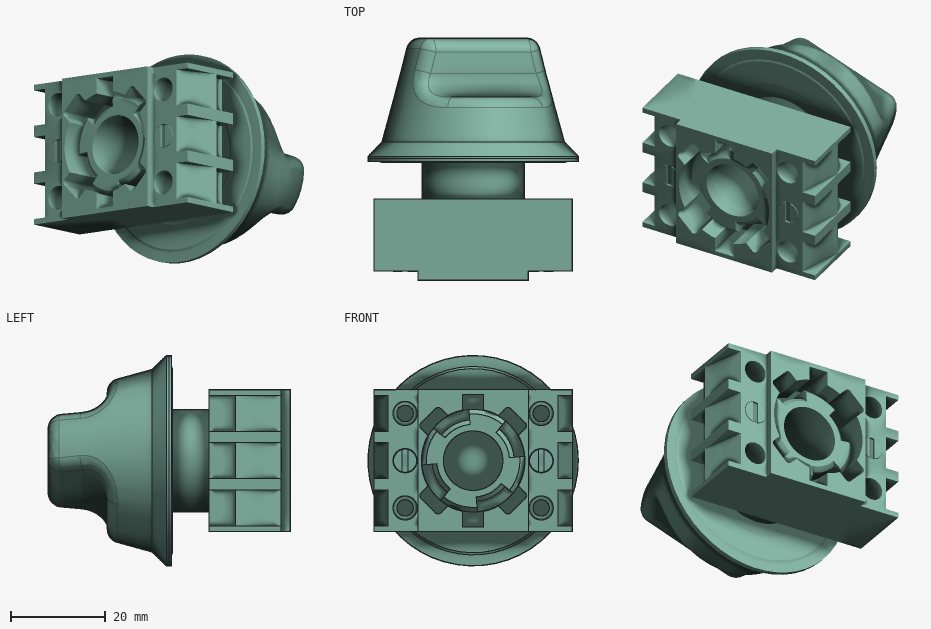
import cadquery as cq
import math


BLOCK_WIDTH = 42.0
BLOCK_HEIGHT = 30.0
BLOCK_BACK = 17.2
WING_FACE = 1.95
CENTRE_WIDTH = 23.35

BAY_ROWS = (-1, 0, 1)
END_WALL = 1.2
RIB = 2.4
BAY_HEIGHT = (BLOCK_HEIGHT - 2 * END_WALL - 2 * RIB) / 3
BAY_PITCH = BAY_HEIGHT + RIB
BAY_DEPTH = 3.0
RAMP_END = 11.55

COLUMN_X = 14.4
COLUMNS = (-COLUMN_X, COLUMN_X)
ROW_PITCH = 10.0
TERMINAL_RADIUS = 2.55
TERMINAL_BORE_RADIUS = 1.75
TERMINAL_STEP_DEPTH = 7.7
SCREW_RADIUS = 2.45
SCREW_RISE = 0.1
SLOT_WIDTH = 1.25
SLOT_DEPTH = 0.5

SOCKET_RADIUS = 10.95
SOCKET_FLOOR = 10.25
KEYWAY_WIDTH = 4.45
KEYWAY_REACH = 14.0
DIAGONAL_WIDTH = 5.95
DIAGONAL_REACH = 13.4
DIAGONAL_CORNER = 0.8

SLEEVE_RADIUS = 10.85
SLEEVE_BORE_RADIUS = 6.3
SLEEVE_FRONT = 3.6
CASTLE_CHAMFER = 0.95
CASTLE_ROOT_RADIUS = 8.65
CASTLE_DEPTH = 5.1
NOTCH_COUNT = 4
NOTCH_START = 4.8
NOTCH_SPAN = 46.0

FLANGE_RADIUS = 44.5 / 2
SEAL_FRONT = 24.95
SEAL_STEP = 0.15
SEAL_BACK = 25.7
PAD_OUTER_RADIUS = 19.45
PAD_INNER_RADIUS = 14.15
PAD_SLOPE = 0.45
BEZEL_RIM_BACK = 26.2
BEZEL_BACK = 29.25

KNOB_BASE_RADIUS = 19.3
KNOB_MID_RADIUS = 17.3
KNOB_MID_Y = 36.5
KNOB_TIP_RADIUS = 13.5
KNOB_TIP = 51.2
GRIP_ANGLE = 20.0
GRIP_HALF_THICKNESS = 6.35
SHOULDER_Y = 38.7
SCOOP_RADIUS = 5.0
KNOB_FILLET = 2.95


def facing_plane(y):
    """Plane across the switch axis: local x is X, local y is Z, and the normal is -Y."""
    return cq.Workplane(cq.Plane(origin=(0, y, 0), xDir=(1, 0, 0), normal=(0, -1, 0)))


def revolved(points):
    """Solid of revolution about Y from (radius, y) points."""
    return cq.Workplane("XY").polyline(points).close().revolve(360, (0, 0, 0), (0, 1, 0))


def disc(radius, y_start, y_end):
    return facing_plane(y_start).circle(radius).extrude(y_start - y_end)


def block_body():
    depth = BLOCK_BACK - WING_FACE
    wings = facing_plane(WING_FACE).rect(BLOCK_WIDTH, BLOCK_HEIGHT).extrude(-depth)
    centre = facing_plane(0).rect(CENTRE_WIDTH, BLOCK_HEIGHT).extrude(-BLOCK_BACK)
    return wings.union(centre)


def terminal_bay(side, z):
    """The two cutters of an open bay: a ramp rising to the end face and a full-depth part behind it."""
    outer = side * BLOCK_WIDTH / 2
    inner = outer - side * BAY_DEPTH
    ramp = [(inner, WING_FACE), (outer, WING_FACE), (outer, RAMP_END)]
    back = [(inner, RAMP_END), (outer, RAMP_END), (outer, BLOCK_BACK), (inner, BLOCK_BACK)]
    base = cq.Workplane("XY").workplane(offset=z - BAY_HEIGHT / 2)
    return [base.polyline(outline).close().extrude(BAY_HEIGHT) for outline in (ramp, back)]


def socket():
    """Round socket with a keyway above and below and four rounded diagonal keyways."""
    depth = SOCKET_FLOOR
    cut = disc(SOCKET_RADIUS, 0, depth)
    cut = cut.union(facing_plane(0).rect(KEYWAY_WIDTH, 2 * KEYWAY_REACH).extrude(-depth))
    for angle in (45, 135):
        diagonal = (
            facing_plane(0)
            .rect(2 * DIAGONAL_REACH, DIAGONAL_WIDTH)
            .extrude(-depth)
            .edges("|Y")
            .fillet(DIAGONAL_CORNER)
            .rotate((0, 0, 0), (0, 1, 0), angle)
        )
        cut = cut.union(diagonal)
    return cut


def make_block():
    block = block_body()
    for side in (-1, 1):
        for row in BAY_ROWS:
            for cutter in terminal_bay(side, row * BAY_PITCH):
                block = block.cut(cutter)
    block = block.cut(socket()).cut(disc(SLEEVE_RADIUS, 0, BLOCK_BACK))

    step_floor = WING_FACE + TERMINAL_STEP_DEPTH
    for x in COLUMNS:
        for z in (-ROW_PITCH, ROW_PITCH):
            block = block.cut(disc(TERMINAL_RADIUS, WING_FACE, step_floor).translate((x, 0, z)))
            block = block.cut(disc(TERMINAL_BORE_RADIUS, step_floor, BLOCK_BACK).translate((x, 0, z)))
        block = block.cut(disc(TERMINAL_RADIUS, WING_FACE, step_floor).translate((x, 0, 0)))
    return block


def make_screw(x):
    """Slotted screw on the floor of its hole, with its head just proud of the wing."""
    head = WING_FACE - SCREW_RISE
    screw = disc(SCREW_RADIUS, head, WING_FACE + TERMINAL_STEP_DEPTH)
    slot = facing_plane(head).rect(SLOT_WIDTH, 2 * SCREW_RADIUS).extrude(-SLOT_DEPTH)
    return screw.cut(slot).translate((x, 0, 0))


def castle_notch(start_angle):
    """Sector outside the castle root, bevelled along its inner edge."""
    half = NOTCH_SPAN / 2
    reach = 2 * SLEEVE_RADIUS
    floor = SLEEVE_FRONT + CASTLE_DEPTH
    corners = [
        (reach * math.cos(math.radians(a)), reach * math.sin(math.radians(a))) for a in (-half, half)
    ]
    sector = facing_plane(SLEEVE_FRONT).polyline([(0, 0), *corners]).close().extrude(-CASTLE_DEPTH)
    root = revolved([
        (0, SLEEVE_FRONT),
        (CASTLE_ROOT_RADIUS - CASTLE_CHAMFER, SLEEVE_FRONT),
        (CASTLE_ROOT_RADIUS, SLEEVE_FRONT + CASTLE_CHAMFER),
        (CASTLE_ROOT_RADIUS, floor),
        (0, floor),
    ])
    return sector.cut(root).rotate((0, 0, 0), (0, -1, 0), start_angle + half)


def make_sleeve():
    sleeve = revolved([
        (SLEEVE_BORE_RADIUS, SLEEVE_FRONT),
        (SLEEVE_RADIUS - CASTLE_CHAMFER, SLEEVE_FRONT),
        (SLEEVE_RADIUS, SLEEVE_FRONT + CASTLE_CHAMFER),
        (SLEEVE_RADIUS, BEZEL_BACK),
        (SLEEVE_BORE_RADIUS, BEZEL_BACK),
    ])
    for i in range(NOTCH_COUNT):
        sleeve = sleeve.cut(castle_notch(NOTCH_START + i * 360 / NOTCH_COUNT))
    return sleeve


def make_seal():
    """Flat ring with a raised, bevelled pad on its front."""
    flat = SEAL_FRONT + SEAL_STEP
    return revolved([
        (SLEEVE_RADIUS, flat),
        (PAD_INNER_RADIUS - PAD_SLOPE, flat),
        (PAD_INNER_RADIUS, SEAL_FRONT),
        (PAD_OUTER_RADIUS, SEAL_FRONT),
        (PAD_OUTER_RADIUS + PAD_SLOPE, flat),
        (FLANGE_RADIUS, flat),
        (FLANGE_RADIUS, SEAL_BACK),
        (SLEEVE_RADIUS, SEAL_BACK),
    ])


def make_bezel():
    return revolved([
        (SLEEVE_RADIUS, SEAL_BACK),
        (FLANGE_RADIUS, SEAL_BACK),
        (FLANGE_RADIUS, BEZEL_RIM_BACK),
        (KNOB_BASE_RADIUS, BEZEL_BACK),
        (SLEEVE_RADIUS, BEZEL_BACK),
    ])


def scoop():
    """Cutter on one side of the grip: a flat wall, a concave round and the shoulder."""
    reach = 2 * KNOB_BASE_RADIUS
    wall_end = SHOULDER_Y + SCOOP_RADIUS
    round_middle = (
        GRIP_HALF_THICKNESS + SCOOP_RADIUS * (1 - math.sqrt(0.5)),
        SHOULDER_Y + SCOOP_RADIUS * (1 - math.sqrt(0.5)),
    )
    side_plane = cq.Plane(origin=(0, 0, 0), xDir=(0, 0, 1), normal=(-1, 0, 0))
    return (
        cq.Workplane(side_plane)
        .moveTo(GRIP_HALF_THICKNESS, 2 * KNOB_TIP)
        .lineTo(GRIP_HALF_THICKNESS, wall_end)
        .threePointArc(round_middle, (GRIP_HALF_THICKNESS + SCOOP_RADIUS, SHOULDER_Y))
        .lineTo(reach, SHOULDER_Y)
        .lineTo(reach, 2 * KNOB_TIP)
        .close()
        .extrude(reach, both=True)
    )


def make_knob():
    knob = (
        cq.Workplane("XY")
        .moveTo(0, BEZEL_BACK)
        .lineTo(KNOB_BASE_RADIUS, BEZEL_BACK)
        .threePointArc((KNOB_MID_RADIUS, KNOB_MID_Y), (KNOB_TIP_RADIUS, KNOB_TIP))
        .lineTo(0, KNOB_TIP)
        .close()
        .revolve(360, (0, 0, 0), (0, 1, 0))
    )
    for turn in (0, 180):
        knob = knob.cut(scoop().rotate((0, 0, 0), (0, 1, 0), turn))
    knob = knob.edges("not <Y").fillet(KNOB_FILLET)
    return knob.rotate((0, 0, 0), (0, 1, 0), GRIP_ANGLE)


block = make_block()
screws = [make_screw(x) for x in COLUMNS]
sleeve = make_sleeve()
seal = make_seal()
bezel = make_bezel()
knob = make_knob()

result = cq.Compound.makeCompound([
    block.val(),
    *[screw.val() for screw in screws],
    sleeve.val(),
    seal.val(),
    bezel.val(),
    knob.val(),
])